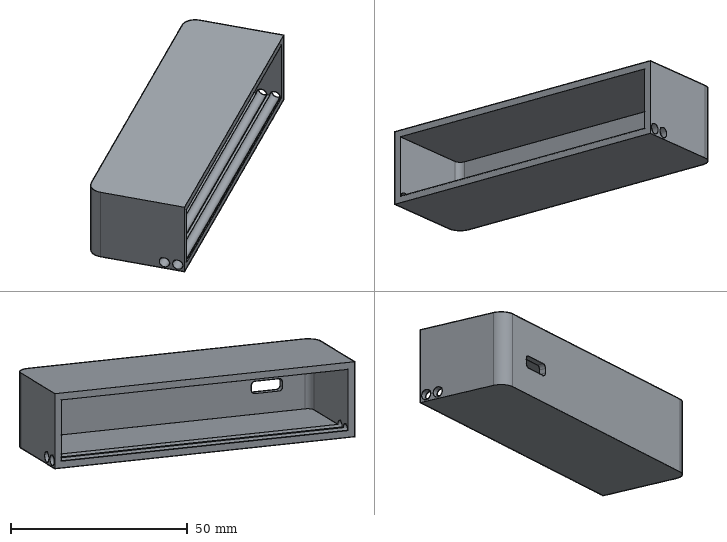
import cadquery as cq

width = 29.0
length = 92.0
height = 22.0
corner_radius = 4.0

wall = 2.0
cavity_corner_radius = corner_radius - wall

slot_length = 9.6
slot_height = 3.6
slot_corner_radius = 1.1
slot_center_from_back = 15.6
slot_center_z = 9.8

hole_diameter = 3.0
hole_count = 2
hole_spacing = 4.0
first_hole_from_side = 2.0
hole_center_z = 2.0


def rounded_block(block_width, block_length, block_height, radius):
    """Box in the positive octant with its two -X upright edges rounded."""
    block = cq.Workplane("XY").box(block_width, block_length, block_height, centered=False)
    return block.edges("|Z and <X").fillet(radius)


def make_case():
    """Walled case with its +X side left open."""
    cavity = rounded_block(width - wall, length - 2 * wall, height - 2 * wall, cavity_corner_radius)
    outside = rounded_block(width, length, height, corner_radius)
    return outside.cut(cavity.translate((wall, wall, wall)))


def make_slot():
    """Round-cornered bar along X that cuts the port slot."""
    bar = cq.Workplane("XY").box(wall, slot_length, slot_height, centered=(False, True, True))
    bar = bar.edges("|X").fillet(slot_corner_radius)
    return bar.translate((0, length - slot_center_from_back, slot_center_z))


def make_wire_hole(from_side):
    """Round rod along Y that cuts one wire hole, at a distance from the +X side."""
    start = cq.Vector(width - from_side, 0, hole_center_z)
    rod = cq.Solid.makeCylinder(hole_diameter / 2, length, start, cq.Vector(0, 1, 0))
    return cq.Workplane(obj=rod)


result = make_case().cut(make_slot())
for index in range(hole_count):
    result = result.cut(make_wire_hole(first_hole_from_side + index * hole_spacing))